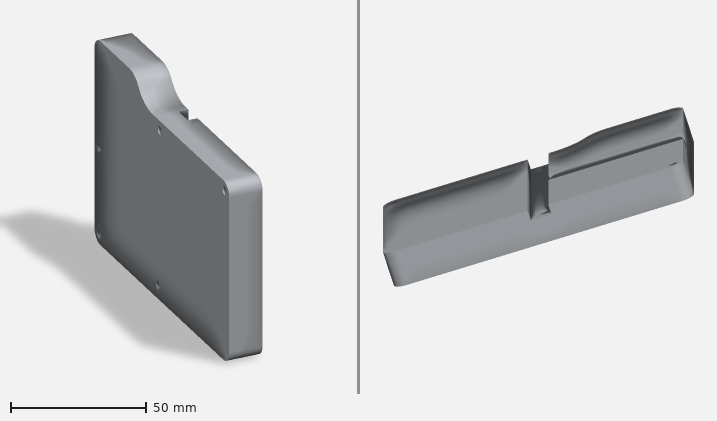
import cadquery as cq
import math

length = 116.6
thickness = 13.6
height = 84.1
corner_radius = 5.0

shoulder_drop = 10.0
shoulder_end = 30.0
crest_radius = 10.0
valley_radius = 15.0

hole_diameter = 3.4
edge_inset = 4.0
top_edge = height - shoulder_drop
upper_hole_z = top_edge - edge_inset
hole_centers = [
    (56.6, upper_hole_z),
    (length - edge_inset, upper_hole_z),
    (edge_inset, 39.7),
    (edge_inset, edge_inset),
    (55.0, 5.5),
]

channel_depth = 4.0
vertical_channel_start = 52.4
vertical_channel_width = 8.0
side_channel_bottom = 35.5
side_channel_width = 8.4
side_channel_depth = 4.2


def make_plate():
    """Extrude the outline from the front face at Y = 0 to the rear face."""
    radius_sum = crest_radius + valley_radius
    turn_angle = math.acos(1 - shoulder_drop / radius_sum)
    half_turn = turn_angle / 2

    def crest_point(angle):
        x = shoulder_end + crest_radius * math.sin(angle)
        return x, height - crest_radius * (1 - math.cos(angle))

    valley_end = shoulder_end + radius_sum * math.sin(turn_angle)

    def valley_point(angle):
        x = valley_end - valley_radius * math.sin(angle)
        return x, top_edge + valley_radius * (1 - math.cos(angle))

    outline = (
        cq.Workplane("XZ")
        .lineTo(0, height)
        .lineTo(shoulder_end, height)
        .threePointArc(crest_point(half_turn), crest_point(turn_angle))
        .threePointArc(valley_point(half_turn), (valley_end, top_edge))
        .lineTo(length, top_edge)
        .lineTo(length, 0)
        .close()
    )
    plate = outline.extrude(-thickness)
    outer_corners = plate.edges("|Y").edges("<X or >X")
    return outer_corners.fillet(corner_radius)


def make_holes():
    """Through holes along Y."""
    return (
        cq.Workplane("XZ")
        .pushPoints(hole_centers)
        .circle(hole_diameter / 2)
        .extrude(-thickness)
    )


def make_vertical_channel():
    """Rear channel running the full height of the plate."""
    return cq.Workplane("XY").box(
        vertical_channel_width, channel_depth, height, centered=False
    ).translate((vertical_channel_start, thickness - channel_depth, 0))


def make_side_channel():
    """Rear channel from the left edge into the vertical channel."""
    reach = vertical_channel_start + vertical_channel_width
    return cq.Workplane("XY").box(
        reach, side_channel_depth, side_channel_width, centered=False
    ).translate((0, thickness - side_channel_depth, side_channel_bottom))


plate = make_plate().cut(make_holes())
channels = make_vertical_channel().union(make_side_channel())
centering = (-length / 2, -thickness / 2, -height / 2)
result = plate.cut(channels).translate(centering)